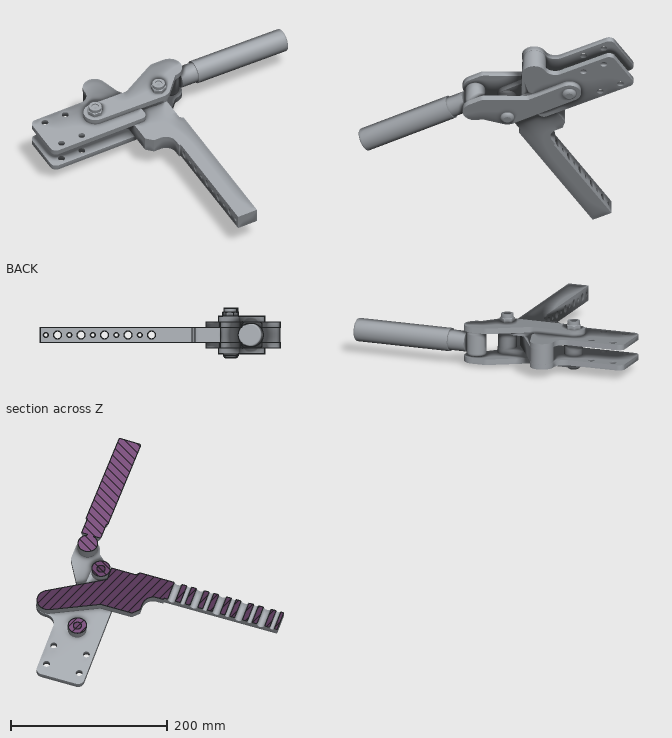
import cadquery as cq
import math


arm_thickness = 20.0
base_plate_thickness = 7.0
handle_plate_thickness = 7.5
arm_face = arm_thickness / 2
base_face = arm_face + base_plate_thickness
handle_face = base_face + handle_plate_thickness

handle_pin = (0.0, 0.0)
handle_tilt = -1.0
pin_spacing = 91.8
link_pin = (
    -pin_spacing * math.sin(math.radians(handle_tilt)),
    pin_spacing * math.cos(math.radians(handle_tilt)),
)
arm_pivot = (-47.5, 25.5)
link_pivot = (0.0, 50.5)

base_left = -31.0
base_right = 32.5
base_bottom = -79.0
base_top = 58.8
base_corner_radius = 8.0
base_top_corner_radius = 7.5
notch_lip_radius = 3.0
ear_radius = 15.5
ear_top_aim = (link_pivot[0], 55.0)
ear_top_radius = 9.0
ear_root_radius = 14.5
notch_radius = 15.8
spacer_radius = 12.0
mount_hole_diameter = 8.8
mount_hole_xs = (-21.0, 23.0)
mount_hole_ys = (-62.0, -32.3)

link_radius = 12.5

arm_boss_radius = 15.0
arm_left = 14.0
arm_neck_top = 97.3
arm_neck_shoulder = 79.0
arm_right = 245.3
bar_top = 101.7
bar_bottom = 74.0
bar_step_x = 47.0
bar_step_run = 3.5
relief_y = 72.0
relief_end_x = 92.5
relief_radius = 14.5
heel_right = 69.0
heel_bottom = 39.5
heel_chamfer = 8.5
heel_left = 18.5
bar_hole_count = 5
bar_hole_pitch = 30.0
first_bar_hole_x = 102.5
large_bar_hole_diameter = 10.0
small_bar_hole_diameter = 6.0

handle_end_radius = 15.0
handle_head = (-28.5, 122.5)
handle_head_radius = 16.0
handle_elbow = (-handle_end_radius, 53.0)
handle_shoulder = (handle_head[0] - handle_head_radius, 103.5)
handle_bend_radius = 9.0
handle_throat_radius = 5.0
barrel_radius = 13.0
barrel_edge_radius = 4.5
rod_start = 135.0
rod_radius = 13.2
grip_start = 158.0
grip_end = 287.5
grip_radius = 15.0
grip_edge_radius = 2.2

shank_radius = 4.8
head_radius = 8.8
head_rim_height = 2.2
head_height = 5.0
head_flat_radius = 5.0
head_dome_middle = (7.5, 4.0)
nut_sides = 6
nut_across_corners = 20.0
nut_height = 5.5
nut_chamfer_angle = 30.0
nut_crown_radius = 8.0
nut_total_height = 10.3
nut_recess_depth = 2.0
link_nut_turn = -5.0
handle_nut_turn = 25.0


def tangent_point(point, centre, radius, side):
    """Where the line from an outside point touches a circle; side is +1 or -1."""
    dx = point[0] - centre[0]
    dy = point[1] - centre[1]
    angle = math.atan2(dy, dx) + side * math.acos(radius / math.hypot(dx, dy))
    return polar_point(centre, radius, math.degrees(angle))


def polar_point(centre, radius, degrees):
    angle = math.radians(degrees)
    return (centre[0] + radius * math.cos(angle), centre[1] + radius * math.sin(angle))


def disc(centre, radius, bottom, top):
    return cq.Workplane("XY", origin=(*centre, bottom)).circle(radius).extrude(top - bottom)


def round_corner(body, corner, radius):
    """Round the upright edge nearest to an XY position."""
    selector = cq.selectors.NearestToPointSelector((*corner, body.val().Center().z))
    return body.edges("|Z").edges(selector).fillet(radius)


def pair(plate):
    """A plate together with its mirror image below the middle plane."""
    return plate.union(plate.mirror("XY"))


def make_base():
    ear_start = tangent_point(ear_top_aim, arm_pivot, ear_radius, 1)
    ear_bottom = arm_pivot[1] - ear_radius
    plate = (
        cq.Workplane("XY", origin=(0, 0, arm_face))
        .moveTo(base_left, base_bottom)
        .lineTo(base_right, base_bottom)
        .lineTo(base_right, base_top)
        .lineTo(link_pivot[0], base_top)
        .lineTo(*ear_top_aim)
        .lineTo(*ear_start)
        .threePointArc((arm_pivot[0] - ear_radius, arm_pivot[1]), (arm_pivot[0], ear_bottom))
        .lineTo(base_left, ear_bottom)
        .close()
        .extrude(base_plate_thickness)
    )
    plate = plate.cut(disc(link_pivot, notch_radius, arm_face, base_face))
    plate = round_corner(plate, (base_left, base_bottom), base_corner_radius)
    plate = round_corner(plate, (base_right, base_bottom), base_corner_radius)
    plate = round_corner(plate, (base_right, base_top), base_top_corner_radius)
    plate = round_corner(plate, (base_left, ear_bottom), ear_root_radius)
    notch_lip_x = link_pivot[0] + math.sqrt(notch_radius**2 - (base_top - link_pivot[1]) ** 2)
    plate = round_corner(plate, (notch_lip_x, base_top), notch_lip_radius)
    plate = round_corner(plate, (link_pivot[0] - notch_radius, link_pivot[1]), ear_top_radius)
    mount_holes = [(x, y) for x in mount_hole_xs for y in mount_hole_ys]
    plate = plate.cut(
        cq.Workplane("XY", origin=(0, 0, arm_face))
        .pushPoints(mount_holes)
        .circle(mount_hole_diameter / 2)
        .extrude(base_plate_thickness)
    )
    base = pair(plate).union(disc(handle_pin, spacer_radius, -arm_face, arm_face))
    return base.cut(disc(handle_pin, shank_radius, -base_face, base_face))


def make_link():
    dx = link_pin[0] - link_pivot[0]
    dy = link_pin[1] - link_pivot[1]
    length = math.hypot(dx, dy)
    middle = ((link_pin[0] + link_pivot[0]) / 2, (link_pin[1] + link_pivot[1]) / 2)
    plate = (
        cq.Workplane("XY", origin=(*middle, arm_face))
        .slot2D(length + 2 * link_radius, 2 * link_radius, math.degrees(math.atan2(dy, dx)))
        .extrude(base_plate_thickness)
    )
    link = pair(plate).union(disc(link_pin, spacer_radius, -arm_face, arm_face))
    return link.cut(disc(link_pin, shank_radius, -base_face, base_face))


def make_arm():
    shoulder = (arm_left, arm_neck_shoulder)
    heel = (heel_left, heel_bottom)
    upper_touch = tangent_point(shoulder, arm_pivot, arm_boss_radius, 1)
    lower_touch = tangent_point(heel, arm_pivot, arm_boss_radius, -1)
    relief_centre = (heel_right + relief_radius, relief_y - relief_radius)
    relief_middle = polar_point(relief_centre, relief_radius, 135)
    arm = (
        cq.Workplane("XY", origin=(0, 0, -arm_face))
        .moveTo(*shoulder)
        .lineTo(arm_left, arm_neck_top)
        .lineTo(bar_step_x, arm_neck_top)
        .lineTo(bar_step_x + bar_step_run, bar_top)
        .lineTo(arm_right, bar_top)
        .lineTo(arm_right, bar_bottom)
        .lineTo(relief_end_x, bar_bottom)
        .lineTo(relief_end_x, relief_y)
        .lineTo(relief_centre[0], relief_y)
        .threePointArc(relief_middle, (heel_right, relief_centre[1]))
        .lineTo(heel_right, heel_bottom + heel_chamfer)
        .lineTo(heel_right - heel_chamfer, heel_bottom)
        .lineTo(*heel)
        .lineTo(*lower_touch)
        .threePointArc((arm_pivot[0] - arm_boss_radius, arm_pivot[1]), upper_touch)
        .close()
        .extrude(arm_thickness)
    )
    for number in range(bar_hole_count):
        large_x = first_bar_hole_x + number * bar_hole_pitch
        small_x = large_x + bar_hole_pitch / 2
        for x, diameter in ((large_x, large_bar_hole_diameter), (small_x, small_bar_hole_diameter)):
            hole = (
                cq.Workplane("XZ", origin=(x, bar_top, 0))
                .circle(diameter / 2)
                .extrude(bar_top - bar_bottom)
            )
            arm = arm.cut(hole)
    return arm


def make_handle_plate():
    upper_pin = (0, pin_spacing)
    throat = (handle_head[0] + handle_head_radius, handle_head[1])
    neck_touch = tangent_point(throat, upper_pin, handle_end_radius, -1)
    neck_angle = math.degrees(math.atan2(neck_touch[1] - upper_pin[1], neck_touch[0]))
    plate = (
        cq.Workplane("XY", origin=(0, 0, base_face))
        .moveTo(-handle_end_radius, 0)
        .threePointArc((0, -handle_end_radius), (handle_end_radius, 0))
        .lineTo(handle_end_radius, pin_spacing)
        .threePointArc(polar_point(upper_pin, handle_end_radius, neck_angle / 2), neck_touch)
        .lineTo(*throat)
        .threePointArc(
            (handle_head[0], handle_head[1] + handle_head_radius),
            (handle_head[0] - handle_head_radius, handle_head[1]),
        )
        .lineTo(*handle_shoulder)
        .lineTo(*handle_elbow)
        .close()
        .extrude(handle_plate_thickness)
    )
    plate = round_corner(plate, handle_elbow, handle_bend_radius)
    plate = round_corner(plate, handle_shoulder, handle_bend_radius)
    plate = round_corner(plate, throat, handle_throat_radius)
    pin_holes = (
        cq.Workplane("XY", origin=(0, 0, base_face))
        .pushPoints([handle_pin, upper_pin])
        .circle(shank_radius)
        .extrude(handle_plate_thickness)
    )
    return plate.cut(pin_holes)


def make_rod(radius, start, end):
    return cq.Workplane("XZ", origin=(handle_head[0], end, 0)).circle(radius).extrude(end - start)


def make_handle():
    barrel = disc(handle_head, barrel_radius, -base_face, base_face)
    barrel = barrel.edges("%CIRCLE").fillet(barrel_edge_radius)
    rod = make_rod(rod_radius, rod_start, grip_start)
    grip = make_rod(grip_radius, grip_start, grip_end).edges(">Y").fillet(grip_edge_radius)
    handle = pair(make_handle_plate()).union(barrel).union(rod).union(grip)
    return handle.rotate((0, 0, 0), (0, 0, 1), handle_tilt)


def make_nut(turn):
    """Lock nut: a hexagon with bevelled upper corners and a round crown."""
    corner_radius = nut_across_corners / 2
    bevel_drop = (corner_radius - nut_crown_radius) * math.tan(math.radians(nut_chamfer_angle))
    bevel = (
        cq.Workplane("XZ")
        .polyline([
            (0, 0),
            (corner_radius, 0),
            (corner_radius, nut_height - bevel_drop),
            (nut_crown_radius, nut_height),
            (0, nut_height),
        ])
        .close()
        .revolve(360, (0, 0), (0, 1))
    )
    hexagon = cq.Workplane("XY").polygon(nut_sides, nut_across_corners).extrude(nut_height)
    hexagon = hexagon.intersect(bevel)
    nut = hexagon.union(disc((0, 0), nut_crown_radius, 0, nut_total_height))
    nut = nut.cut(disc((0, 0), shank_radius, nut_total_height - nut_recess_depth, nut_total_height))
    return nut.rotate((0, 0, 0), (0, 0, 1), turn)


def make_pin(centre, nut_turn):
    """Button-head bolt, head down, with its lock nut on top."""
    head = (
        cq.Workplane("XZ")
        .lineTo(head_radius, 0)
        .lineTo(head_radius, -head_rim_height)
        .threePointArc((head_dome_middle[0], -head_dome_middle[1]), (head_flat_radius, -head_height))
        .lineTo(0, -head_height)
        .close()
        .revolve(360, (0, 0), (0, 1))
        .translate((0, 0, -handle_face))
    )
    shank = disc((0, 0), shank_radius, -handle_face, handle_face)
    nut = make_nut(nut_turn).translate((0, 0, handle_face))
    return head.union(shank).union(nut).translate((*centre, 0))


base = make_base()
link = make_link()
arm = make_arm()
handle = make_handle()
pins = [
    make_pin(centre, turn)
    for centre, turn in ((handle_pin, handle_nut_turn), (link_pin, link_nut_turn))
]

result = cq.Compound.makeCompound(
    [base.val(), link.val(), arm.val(), handle.val(), *[pin.val() for pin in pins]]
)